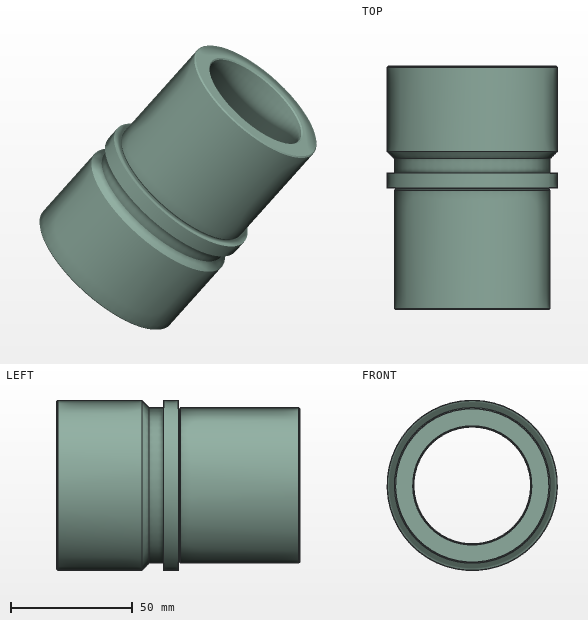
import cadquery as cq
import math

SLEEVE_LENGTH = 100.0
HEAD_RADIUS = 35.0
SPIGOT_RADIUS = 32.0
BORE_RADIUS = 24.0
EDGE_CHAMFER = 0.5

COLLAR_START = 50.0
COLLAR_END = 56.0
NECK_END = 62.0
TAPER_END = NECK_END + (HEAD_RADIUS - SPIGOT_RADIUS)

GROOVE_WIDTH = 1.0
GROOVE_DEPTH = 0.5
GROOVE_FILLET = 0.3
GROOVE_START = COLLAR_START - GROOVE_WIDTH
GROOVE_FLOOR_RADIUS = SPIGOT_RADIUS - GROOVE_DEPTH


def half_section():
    """Closed profile above the Y axis, drawn as (station, radius)."""
    fillet_center_y = COLLAR_START - GROOVE_FILLET
    fillet_center_r = GROOVE_FLOOR_RADIUS + GROOVE_FILLET
    fillet_reach = GROOVE_FILLET * math.sqrt(0.5)
    fillet_mid = (fillet_center_y + fillet_reach, fillet_center_r - fillet_reach)
    head_end_chamfer_start = SLEEVE_LENGTH - EDGE_CHAMFER

    return (
        cq.Workplane("YZ")
        .moveTo(0, BORE_RADIUS + EDGE_CHAMFER)
        .lineTo(0, SPIGOT_RADIUS - EDGE_CHAMFER)
        .lineTo(EDGE_CHAMFER, SPIGOT_RADIUS)
        .lineTo(GROOVE_START, SPIGOT_RADIUS)
        .lineTo(GROOVE_START + GROOVE_DEPTH, GROOVE_FLOOR_RADIUS)
        .lineTo(fillet_center_y, GROOVE_FLOOR_RADIUS)
        .threePointArc(fillet_mid, (COLLAR_START, fillet_center_r))
        .lineTo(COLLAR_START, HEAD_RADIUS)
        .lineTo(COLLAR_END, HEAD_RADIUS)
        .lineTo(COLLAR_END, SPIGOT_RADIUS)
        .lineTo(NECK_END, SPIGOT_RADIUS)
        .lineTo(TAPER_END, HEAD_RADIUS)
        .lineTo(head_end_chamfer_start, HEAD_RADIUS)
        .lineTo(SLEEVE_LENGTH, HEAD_RADIUS - EDGE_CHAMFER)
        .lineTo(SLEEVE_LENGTH, BORE_RADIUS + EDGE_CHAMFER)
        .lineTo(head_end_chamfer_start, BORE_RADIUS)
        .lineTo(EDGE_CHAMFER, BORE_RADIUS)
        .close()
    )


result = half_section().revolve(360, (0, 0, 0), (1, 0, 0))